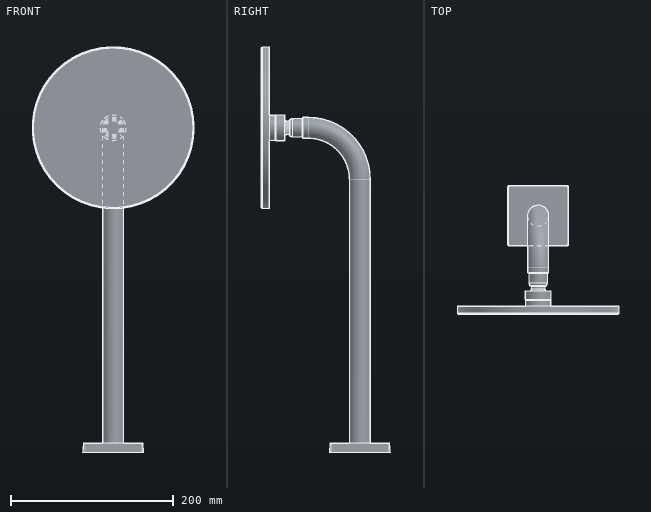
import cadquery as cq
import math

base_side = 75.0
base_height = 12.0
base_corner_radius = 2.5
base_side_inset = 1.0

tube_diameter = 26.0
bend_radius = 63.5
tube_reach = 71.0

head_diameter = 199.5
head_thickness = 10.0
head_edge_chamfer = 1.5
total_height = 499.5
total_depth = 159.0

tube_end_chamfer = 1.0
sleeve_diameter = 23.0
sleeve_end = 83.0
sleeve_tip_diameter = 21.0
sleeve_tip_end = 86.0
neck_diameter = 17.0
neck_start = 87.5
neck_end = 90.0
neck_flare_diameter = 19.0
collar_diameter = 32.0
collar_start = 92.5
collar_chamfer = 0.5
groove_diameter = 31.0
groove_start = 103.5
groove_width = 1.0
flange_diameter = 31.5

axis_height = total_height - head_diameter / 2
bend_start_height = axis_height - bend_radius
chamfer_start = tube_reach - tube_end_chamfer
head_front = total_depth - base_side / 2
head_back = head_front - head_thickness


def level_cylinder(diameter, start, end):
    """Cylinder along -Y on the head axis, between two distances from the post axis."""
    plane = cq.Workplane("XZ", origin=(0, -start, axis_height))
    return plane.circle(diameter / 2).extrude(end - start)


def make_base():
    lean = math.degrees(math.atan(base_side_inset / base_height))
    outline = cq.Sketch().rect(base_side, base_side).vertices().fillet(base_corner_radius)
    return cq.Workplane("XY").placeSketch(outline).extrude(base_height, taper=lean)


def make_tube():
    post = cq.Workplane("XY").circle(tube_diameter / 2).extrude(bend_start_height)
    bend = (
        cq.Workplane("XY", origin=(0, 0, bend_start_height))
        .circle(tube_diameter / 2)
        .revolve(90, (0, -bend_radius, 0), (1, -bend_radius, 0))
    )
    level_end = level_cylinder(tube_diameter, bend_radius, chamfer_start)
    return post.union(bend).union(level_end)


def make_joint():
    groove_end = groove_start + groove_width
    stations = [
        (tube_diameter, chamfer_start),
        (sleeve_diameter, tube_reach),
        (sleeve_diameter, sleeve_end),
        (sleeve_tip_diameter, sleeve_tip_end),
        (neck_diameter, neck_start),
        (neck_diameter, neck_end),
        (neck_flare_diameter, collar_start),
        (collar_diameter - 2 * collar_chamfer, collar_start),
        (collar_diameter, collar_start + collar_chamfer),
        (collar_diameter, groove_start),
        (groove_diameter, groove_start),
        (groove_diameter, groove_end),
        (flange_diameter, groove_end),
        (flange_diameter, head_back),
    ]
    profile = cq.Workplane("YZ").moveTo(-chamfer_start, axis_height)
    for diameter, distance in stations:
        profile = profile.lineTo(-distance, axis_height + diameter / 2)
    profile = profile.lineTo(-head_back, axis_height).close()
    return profile.revolve(360, (0, axis_height, 0), (1, axis_height, 0))


def make_head():
    disc = level_cylinder(head_diameter, head_back, head_front)
    return disc.faces("<Y").edges().chamfer(head_edge_chamfer)


result = make_base().union(make_tube()).union(make_joint()).union(make_head())